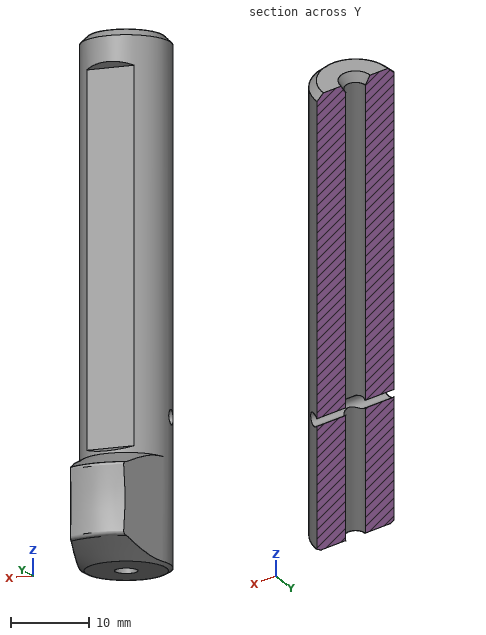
import cadquery as cq
import math

length = 70.0
pin_radius = 6.0
top_chamfer_width = 1.0
top_chamfer_height = 1.0

fin_tip_radius = 10.0
tip_round = 0.5
tip_hollow = 0.2
trim_margin = 0.7
fin_side_angle = math.radians(15)
cone_slope = math.tan(math.radians(30))
lower_cone_height = 0.35
upper_cone_height = 14.15

flat_distance = 5.005
flat_bottom = 15.05
flat_top = 65.0

bore_radius = 1.505
countersink_radius = 2.25
cross_hole_radius = 1.0
cross_hole_y = -0.85
cross_hole_z = 19.8


def revolved(outline):
    """Turn a closed (radius, height) outline about the Z axis."""
    return outline.revolve(360, (0, 0, 0), (0, 1, 0))


def make_foot():
    """Pin foot with a fin whose sides are tangent to the pin, both ends coned."""
    tangent_x = pin_radius * math.cos(fin_side_angle)
    tangent_y = pin_radius * math.sin(fin_side_angle)
    outer_y = fin_tip_radius + trim_margin
    outer_x = tangent_x - (outer_y - tangent_y) * math.tan(fin_side_angle)
    prism = (
        cq.Workplane("XY")
        .moveTo(tangent_x, tangent_y)
        .lineTo(outer_x, outer_y)
        .lineTo(-outer_x, outer_y)
        .lineTo(-tangent_x, tangent_y)
        .threePointArc((0, -pin_radius), (tangent_x, tangent_y))
        .close()
        .extrude(length)
    )
    foot_radius = pin_radius - lower_cone_height / cone_slope
    shoulder_radius = fin_tip_radius - tip_round
    cone_rise = (shoulder_radius - pin_radius) * cone_slope
    lower_shoulder = lower_cone_height + cone_rise
    upper_shoulder = upper_cone_height - cone_rise
    lower_tip = lower_shoulder + tip_round
    upper_tip = upper_shoulder - tip_round
    bulge = tip_round * math.sqrt(0.5)
    bulge_radius = shoulder_radius + bulge
    bulge_drop = tip_round - bulge
    middle = (lower_shoulder + upper_shoulder) / 2
    cone_apex = upper_cone_height + pin_radius * cone_slope
    profile = (
        cq.Workplane("XZ")
        .moveTo(0, 0)
        .lineTo(foot_radius, 0)
        .lineTo(shoulder_radius, lower_shoulder)
        .threePointArc((bulge_radius, lower_shoulder + bulge_drop), (fin_tip_radius, lower_tip))
        .threePointArc((fin_tip_radius - tip_hollow, middle), (fin_tip_radius, upper_tip))
        .threePointArc((bulge_radius, upper_shoulder - bulge_drop), (shoulder_radius, upper_shoulder))
        .lineTo(0, cone_apex)
        .close()
    )
    return prism.intersect(revolved(profile))


def make_shank():
    """Pin above the bottom chamfer, with the chamfered top end."""
    profile = (
        cq.Workplane("XZ")
        .moveTo(0, lower_cone_height)
        .lineTo(pin_radius, lower_cone_height)
        .lineTo(pin_radius, length - top_chamfer_height)
        .lineTo(pin_radius - top_chamfer_width, length)
        .lineTo(0, length)
        .close()
    )
    return revolved(profile)


def make_flat_cutter(side):
    """Flat recess with sloped ends; side is -1 or +1 along Y."""
    flare = (pin_radius - flat_distance) * cone_slope
    inner_y = side * flat_distance
    outer_y = side * pin_radius
    return (
        cq.Workplane("YZ")
        .polyline([
            (inner_y, flat_bottom),
            (outer_y, flat_bottom - flare),
            (outer_y, flat_top + flare),
            (inner_y, flat_top),
        ])
        .close()
        .extrude(pin_radius, both=True)
    )


def make_bore():
    countersink_depth = (countersink_radius - bore_radius) / cone_slope
    profile = (
        cq.Workplane("XZ")
        .moveTo(0, 0)
        .lineTo(bore_radius, 0)
        .lineTo(bore_radius, length - countersink_depth)
        .lineTo(countersink_radius, length)
        .lineTo(0, length)
        .close()
    )
    return revolved(profile)


def make_cross_hole():
    return (
        cq.Workplane("YZ")
        .center(cross_hole_y, cross_hole_z)
        .circle(cross_hole_radius)
        .extrude(pin_radius, both=True)
    )


result = make_shank().union(make_foot())
for side in (-1, 1):
    result = result.cut(make_flat_cutter(side))
result = result.cut(make_bore()).cut(make_cross_hole())